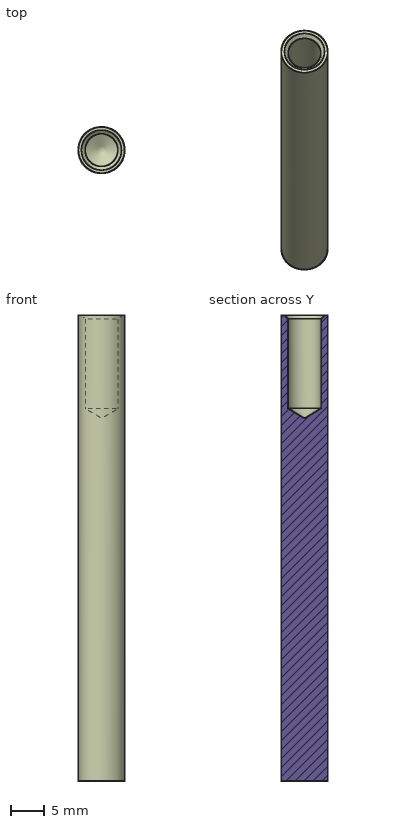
import cadquery as cq
import math

rod_length = 70.0
rod_radius = 3.5

bore_radius = 2.45
bore_depth = 14.0
drill_point_angle = 118.0

countersink_radius = 3.0
countersink_depth = countersink_radius - bore_radius

bore_floor_z = rod_length - bore_depth
drill_tip_height = bore_radius / math.tan(math.radians(drill_point_angle / 2))


def rod():
    return cq.Workplane("XY").circle(rod_radius).extrude(rod_length)


def drilled_hole():
    """Countersink, straight bore and conical drill point, revolved about the rod axis."""
    half_section = (
        cq.Workplane("XZ")
        .moveTo(0, rod_length)
        .lineTo(countersink_radius, rod_length)
        .lineTo(bore_radius, rod_length - countersink_depth)
        .lineTo(bore_radius, bore_floor_z)
        .lineTo(0, bore_floor_z - drill_tip_height)
        .close()
    )
    return half_section.revolve(360, (0, 0, 0), (0, 1, 0))


result = rod().cut(drilled_hole())